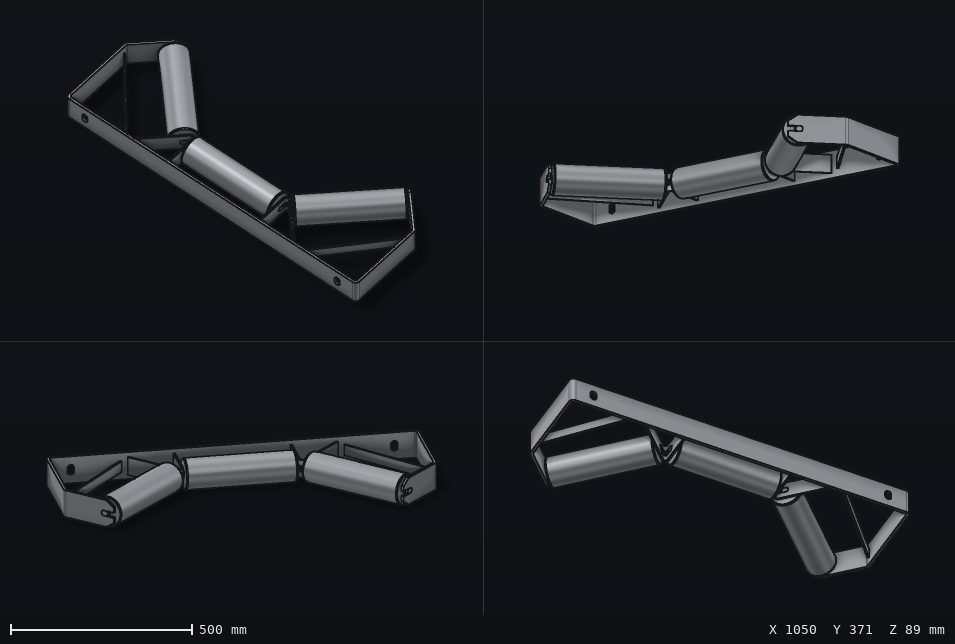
import cadquery as cq
import math

TOTAL_LENGTH = 1050.0
TOTAL_DEPTH = 371.0
TROUGH_ANGLE = 45.0

FRAME_WIDTH = 80.0
FRAME_THICKNESS = 8.0
BASE_BEND_RADIUS = 14.0
ARM_BEND_RADIUS = 13.0
SIDE_WALL_HEIGHT = 254.0
TIP_CHAMFER_WIDTH = 17.0
TIP_CHAMFER_LENGTH = 25.0

MOUNT_SLOT_X = 456.0
MOUNT_SLOT_LENGTH = 28.0
MOUNT_SLOT_WIDTH = 19.0

ROLLER_DIAMETER = 89.0
ROLLER_LENGTH = 314.0
ROLLER_RIM_LENGTH = 4.0
ROLLER_RIM_DROP = 2.0
SHAFT_DIAMETER = 21.0
SHAFT_FLAT_WIDTH = 16.0
ROLLER_GAP = 5.0
MIDDLE_ROLLER_Y = 102.0
ARM_SEAT_DEPTH = 30.0

BRACKET_WIDTH = 52.0
BRACKET_THICKNESS = 5.0
BRACKET_BEND_RADIUS = 12.0

BRACE_WIDTH = 32.0
BRACE_THICKNESS = 5.0
BRACE_WALL_Y = 238.0
BRACE_BASE_X = 317.0

HALF_LENGTH = TOTAL_LENGTH / 2
WALL_INNER_X = HALF_LENGTH - FRAME_THICKNESS
TILT = math.radians(TROUGH_ANGLE)
OUTWARD = (math.cos(TILT), math.sin(TILT))
INWARD = (-OUTWARD[0], -OUTWARD[1])
UPWARD = (-math.sin(TILT), math.cos(TILT))


def shifted(point, direction, distance):
    """Point moved a distance along a unit direction."""
    return (point[0] + distance * direction[0], point[1] + distance * direction[1])


ARM_CORNER = (HALF_LENGTH, SIDE_WALL_HEIGHT)
ARM_LENGTH = (TOTAL_DEPTH - SIDE_WALL_HEIGHT) / UPWARD[1]
ARM_TIP = shifted(ARM_CORNER, UPWARD, ARM_LENGTH)
ARM_SEAT = shifted(ARM_TIP, UPWARD, -ARM_SEAT_DEPTH)
SIDE_ROLLER_CENTRE = shifted(ARM_SEAT, OUTWARD, -(FRAME_THICKNESS + ROLLER_GAP + ROLLER_LENGTH / 2))
LEG_SEAT = shifted(SIDE_ROLLER_CENTRE, OUTWARD, -(ROLLER_LENGTH / 2 + ROLLER_GAP))
BRACKET_FACE_X = ROLLER_LENGTH / 2 + ROLLER_GAP


def offset_path(points, distance):
    """Open polyline moved sideways to its left, with mitred corners."""
    normals = []
    for (x0, y0), (x1, y1) in zip(points, points[1:]):
        length = math.hypot(x1 - x0, y1 - y0)
        normals.append(((y0 - y1) / length, (x1 - x0) / length))
    before = normals[:1] + normals
    after = normals + normals[-1:]
    moved = []
    for point, a, b in zip(points, before, after):
        mitre = distance / (1 + a[0] * b[0] + a[1] * b[1])
        moved.append((point[0] + mitre * (a[0] + b[0]), point[1] + mitre * (a[1] + b[1])))
    return moved


def centred_plate(outline, width):
    """Closed XY outline given a width along Z, centred on Z = 0."""
    return cq.Workplane("XY").workplane(offset=-width / 2).polyline(outline).close().extrude(width)


def bent_strip(outer, thickness, width, outer_radii):
    """Flat strip bent along its outer face path, with the material to the left of the path."""
    inner = offset_path(outer, thickness)
    strip = centred_plate(outer + inner[::-1], width)
    for outer_corner, inner_corner, radius in zip(outer[1:-1], inner[1:-1], outer_radii):
        outer_edge = cq.NearestToPointSelector((*outer_corner, 0))
        strip = strip.edges("|Z").edges(outer_edge).fillet(radius)
        inner_edge = cq.NearestToPointSelector((*inner_corner, 0))
        strip = strip.edges("|Z").edges(inner_edge).fillet(radius - thickness)
    return strip


def mirrored(points):
    """Points reflected to the other side of X = 0."""
    return [(-x, y) for x, y in points]


def shaft_end(plane, length):
    """Shaft end along the plane normal: round at both edges, flat on the plane's +Y and -Y sides."""
    return cq.Workplane(plane).slot2D(SHAFT_DIAMETER, SHAFT_FLAT_WIDTH).extrude(length)


def seat_slot(seat, inward, upward, depth, length):
    """Cutter for a shaft slot: a seat shaped like the shaft end, open along the upward direction."""
    plane = cq.Plane(origin=(*seat, 0), xDir=(*upward, 0), normal=(*inward, 0))
    opening = cq.Workplane(plane).center(length / 2, 0).rect(length, SHAFT_FLAT_WIDTH).extrude(depth)
    return shaft_end(plane, depth).union(opening)


def tip_corner_cutters():
    """Triangular prisms that take the two corners off the +X arm tip."""
    plane = cq.Plane(origin=(*ARM_TIP, 0), xDir=(*UPWARD, 0), normal=(*INWARD, 0))
    half_width = FRAME_WIDTH / 2
    cutters = cq.Workplane(plane)
    for side in (-1, 1):
        cutters = cutters.polyline([
            (0, side * half_width),
            (-TIP_CHAMFER_LENGTH, side * half_width),
            (0, side * (half_width - TIP_CHAMFER_WIDTH)),
        ]).close()
    return cutters.extrude(FRAME_THICKNESS)


def make_frame():
    right_half = [(HALF_LENGTH, 0), ARM_CORNER, ARM_TIP]
    outer = mirrored(right_half)[::-1] + right_half
    bend_radii = [ARM_BEND_RADIUS, BASE_BEND_RADIUS, BASE_BEND_RADIUS, ARM_BEND_RADIUS]
    frame = bent_strip(outer, FRAME_THICKNESS, FRAME_WIDTH, bend_radii)

    arm_slot = seat_slot(ARM_SEAT, INWARD, UPWARD, FRAME_THICKNESS, ARM_SEAT_DEPTH)
    tip_cut = arm_slot.union(tip_corner_cutters())
    frame = frame.cut(tip_cut).cut(tip_cut.mirror("YZ"))

    mount_slots = (
        cq.Workplane("XZ")
        .pushPoints([(-MOUNT_SLOT_X, 0), (MOUNT_SLOT_X, 0)])
        .slot2D(MOUNT_SLOT_LENGTH, MOUNT_SLOT_WIDTH, 90)
        .extrude(-FRAME_THICKNESS)
    )
    return frame.cut(mount_slots)


def make_bracket(side):
    slope = math.tan(TILT)
    apex = (BRACKET_FACE_X, LEG_SEAT[1] + (LEG_SEAT[0] - BRACKET_FACE_X) / slope)
    foot_y = FRAME_THICKNESS + BRACKET_THICKNESS * OUTWARD[1]
    foot = (apex[0] + (apex[1] - foot_y) * slope, foot_y)
    outer = [foot, apex, (BRACKET_FACE_X, FRAME_THICKNESS)]
    bracket = bent_strip(outer, BRACKET_THICKNESS, BRACKET_WIDTH, [BRACKET_BEND_RADIUS])

    upright_seat = (BRACKET_FACE_X, MIDDLE_ROLLER_Y)
    upright_slot = seat_slot(upright_seat, (1, 0), (0, 1), BRACKET_THICKNESS, apex[1] - MIDDLE_ROLLER_Y)
    sloping_slot = seat_slot(LEG_SEAT, INWARD, UPWARD, BRACKET_THICKNESS, math.dist(apex, LEG_SEAT))
    bend_height = BRACKET_BEND_RADIUS / math.tan(TILT / 2)
    bend_gap = (
        cq.Workplane("XY")
        .box(LEG_SEAT[0] - BRACKET_FACE_X, bend_height, SHAFT_FLAT_WIDTH, centered=(False, False, True))
        .translate((apex[0], apex[1] - bend_height, 0))
    )
    bracket = bracket.cut(upright_slot).cut(sloping_slot).cut(bend_gap)
    return bracket if side > 0 else bracket.mirror("YZ")


def make_brace(side):
    lower_face = [(BRACE_BASE_X, FRAME_THICKNESS), (WALL_INNER_X, BRACE_WALL_Y)]
    upper_face = offset_path(lower_face, BRACE_THICKNESS)
    outline = lower_face + upper_face[::-1]
    if side < 0:
        outline = mirrored(outline)
    return centred_plate(outline, BRACE_WIDTH)


def make_roller(centre, angle, end_lengths):
    """Roller along its tilted axis; end_lengths are the flatted lengths at its -X and +X ends."""
    half_length = ROLLER_LENGTH / 2
    journal_end = half_length + ROLLER_GAP
    radius = ROLLER_DIAMETER / 2
    rim_radius = radius - ROLLER_RIM_DROP
    shaft_radius = SHAFT_DIAMETER / 2
    right_profile = [
        (half_length - ROLLER_RIM_LENGTH, radius),
        (half_length, rim_radius),
        (half_length, shaft_radius),
        (journal_end, shaft_radius),
        (journal_end, 0),
    ]
    profile = mirrored(right_profile)[::-1] + right_profile
    roller = cq.Workplane("XY").polyline(profile).close().revolve(360, (0, 0, 0), (1, 0, 0))
    for side, length in zip((-1, 1), end_lengths):
        plane = cq.Plane(origin=(side * journal_end, 0, 0), xDir=(0, 1, 0), normal=(side, 0, 0))
        roller = roller.union(shaft_end(plane, length))
    return roller.rotate((0, 0, 0), (0, 0, 1), angle).translate((*centre, 0))


frame = make_frame()
brackets = [make_bracket(side) for side in (-1, 1)]
braces = [make_brace(side) for side in (-1, 1)]

side_x, side_y = SIDE_ROLLER_CENTRE
roller_places = [
    ((-side_x, side_y), -TROUGH_ANGLE, (FRAME_THICKNESS, BRACKET_THICKNESS)),
    ((0, MIDDLE_ROLLER_Y), 0, (BRACKET_THICKNESS, BRACKET_THICKNESS)),
    ((side_x, side_y), TROUGH_ANGLE, (BRACKET_THICKNESS, FRAME_THICKNESS)),
]
rollers = [make_roller(*place) for place in roller_places]

bodies = [frame, *brackets, *braces, *rollers]
result = cq.Compound.makeCompound([body.val() for body in bodies])